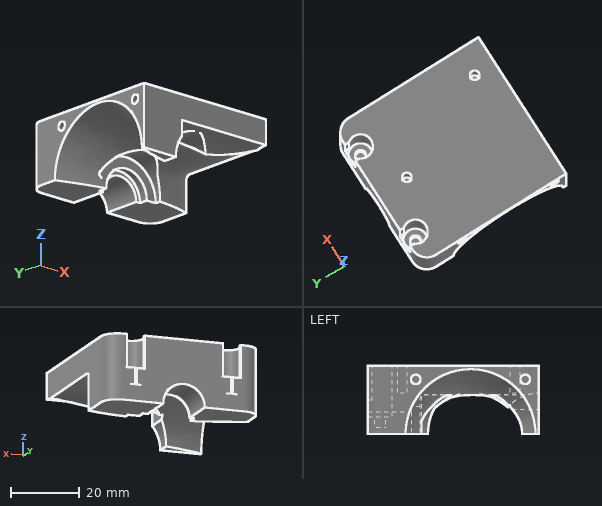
import cadquery as cq
WIDTH = 48.0
DEPTH = 50.09
HEIGHT = 20.0
END_X = WIDTH / 2
CORNER_RADIUS = 5.0

HEATSINK_RADIUS = 11.5
HEATSINK_LENGTH = 34.3
FLANGE_RADIUS = 8.0
FLANGE_LENGTH = 3.0
NECK_RADIUS = 6.5

INLET_Y = 20.0
THROAT_X = 2.5
THROAT_Y = 19.8
OUTLET_Y = 19.0
INLET_RADIUS = 19.0
THROAT_RADIUS = 12.75
OUTLET_WIDTH = 31.5
OUTLET_HALF_HEIGHT = 11.6
OUTLET_CORNER_RADIUS = 1.5

CLEARANCE_RADIUS = 12.0
CLEARANCE_START_X = -9.0

PILOT_DIAMETER = 2.8
FAN_SCREW_SPACING = 32.0
FAN_SCREW_DEPTH = 12.0
TOP_PILOT_DEPTH = 8.0
TOP_PILOTS = [(0.0, 40.0), (15.0, 7.0)]

CLAMP_X = 15.0
CLAMP_Y = 46.5
CLAMP_HOLE_DIAMETER = 3.2
CLAMP_HOLE_DEPTH = 18.0
CLAMP_HEAD_DIAMETER = 7.2
CLAMP_HEAD_DEPTH = 15.0
CLAMP_SLOT_WIDTH = 5.6
CLAMP_SLOT_DEPTH = 10.0


def make_block():
    block = cq.Workplane("XY").box(WIDTH, DEPTH, HEIGHT, centered=(True, False, False))
    return block.edges("|Z and >Y").fillet(CORNER_RADIUS)


def cylinder_along_y(radius, length):
    return cq.Workplane("XZ").circle(radius).extrude(-length)


def make_hot_end_seat():
    heatsink = cylinder_along_y(HEATSINK_RADIUS, HEATSINK_LENGTH)
    flange = cylinder_along_y(FLANGE_RADIUS, HEATSINK_LENGTH + FLANGE_LENGTH)
    neck = cylinder_along_y(NECK_RADIUS, DEPTH)
    return heatsink.union(flange).union(neck)


def make_duct():
    """Smooth loft through three sections, symmetric about the base plane."""
    outlet = (
        cq.Sketch()
        .rect(OUTLET_WIDTH, 2 * OUTLET_HALF_HEIGHT)
        .vertices()
        .fillet(OUTLET_CORNER_RADIUS)
    )
    inlet = cq.Sketch().circle(INLET_RADIUS)
    throat = cq.Sketch().circle(THROAT_RADIUS)
    throat_location = cq.Location(cq.Vector(THROAT_Y, 0, THROAT_X + END_X))
    outlet_location = cq.Location(cq.Vector(OUTLET_Y, 0, WIDTH))
    return (
        cq.Workplane("YZ", origin=(-END_X, 0, 0))
        .placeSketch(
            inlet.moved(cq.Location(cq.Vector(INLET_Y, 0, 0))),
            throat.moved(throat_location),
            outlet.moved(outlet_location),
        )
        .loft()
    )


def make_front_clearance():
    return (
        cq.Workplane("YZ", origin=(CLEARANCE_START_X, 0, 0))
        .circle(CLEARANCE_RADIUS)
        .extrude(END_X - CLEARANCE_START_X)
    )


def make_fan_screw_holes():
    half_spacing = FAN_SCREW_SPACING / 2
    return (
        cq.Workplane("YZ", origin=(-END_X, INLET_Y, half_spacing))
        .pushPoints([(-half_spacing, 0), (half_spacing, 0)])
        .circle(PILOT_DIAMETER / 2)
        .extrude(FAN_SCREW_DEPTH)
    )


def make_top_pilots():
    return (
        cq.Workplane("XY", origin=(0, 0, HEIGHT))
        .pushPoints(TOP_PILOTS)
        .circle(PILOT_DIAMETER / 2)
        .extrude(-TOP_PILOT_DEPTH)
    )


def make_clamp_cut(x):
    head_floor = HEIGHT - CLAMP_HEAD_DEPTH
    slot_floor = HEIGHT - CLAMP_SLOT_DEPTH
    slot_length = DEPTH - CLAMP_Y
    hole = (
        cq.Workplane("XY", origin=(x, CLAMP_Y, HEIGHT))
        .circle(CLAMP_HOLE_DIAMETER / 2)
        .extrude(-CLAMP_HOLE_DEPTH)
    )
    head = (
        cq.Workplane("XY", origin=(x, CLAMP_Y, head_floor))
        .circle(CLAMP_HEAD_DIAMETER / 2)
        .extrude(CLAMP_HEAD_DEPTH)
    )
    slot = cq.Workplane("XY", origin=(x, CLAMP_Y, slot_floor)).box(
        CLAMP_SLOT_WIDTH, slot_length, CLAMP_SLOT_DEPTH, centered=(True, False, False)
    )
    return hole.union(head).union(slot)


result = make_block()
result = result.cut(make_duct())
result = result.cut(make_hot_end_seat())
result = result.cut(make_front_clearance())
result = result.cut(make_fan_screw_holes())
result = result.cut(make_top_pilots())
for clamp_x in (-CLAMP_X, CLAMP_X):
    result = result.cut(make_clamp_cut(clamp_x))